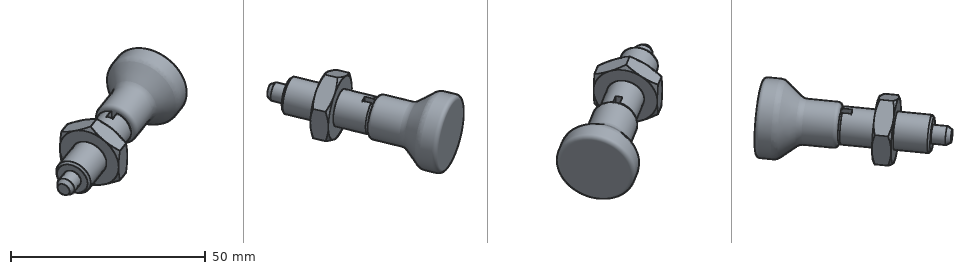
import cadquery as cq
import math

overall_length = 50

pin_diameter = 5
pin_length = 5
pin_tip_diameter = 3.5
pin_taper_length = 1.3

body_diameter = 10
body_end = 29
body_chamfer = 0.6

nut_across_flats = 17
nut_start = 14.5
nut_thickness = 5
nut_chamfer_angle = 30
nut_sides = 6
hex_half_angle = 180 / nut_sides

notch_width = 1.8
notch_length = 3
notch_depth = 2.5

neck_diameter = 12
knob_diameter = 21
cone_start = 39.05
cone_end = 44.6
knob_edge_radius = 1.2
knob_blend_radius = 2.5


def revolve_profile(points):
    """Revolve (radius, Y) points about the Y axis."""
    return cq.Workplane("XY").polyline(points).close().revolve(360, (0, 0, 0), (0, 1, 0))


def make_pin():
    radius = pin_diameter / 2
    return revolve_profile([
        (0, 0),
        (pin_tip_diameter / 2, 0),
        (radius, pin_taper_length),
        (radius, pin_length + body_chamfer),
        (0, pin_length + body_chamfer),
    ])


def make_body():
    radius = body_diameter / 2
    body = revolve_profile([
        (0, pin_length),
        (radius, pin_length),
        (radius, body_end),
        (0, body_end),
    ]).faces("<Y or >Y").chamfer(body_chamfer)
    for side in (1, -1):
        notch = cq.Workplane("XY").box(notch_width, notch_length, notch_depth).translate(
            (0, body_end - notch_length / 2, side * (radius - notch_depth / 2))
        )
        body = body.cut(notch)
    return body


def make_nut():
    flat_radius = nut_across_flats / 2
    corner_radius = flat_radius / math.cos(math.radians(hex_half_angle))
    chamfer_length = (corner_radius - flat_radius) * math.tan(math.radians(nut_chamfer_angle))
    nut_end = nut_start + nut_thickness
    hexagon = (
        cq.Workplane("XZ", origin=(0, nut_end, 0))
        .polygon(nut_sides, 2 * corner_radius)
        .extrude(nut_thickness)
        .rotate((0, 0, 0), (0, 1, 0), hex_half_angle)
    )
    envelope = revolve_profile([
        (0, nut_start),
        (flat_radius, nut_start),
        (corner_radius, nut_start + chamfer_length),
        (corner_radius, nut_end - chamfer_length),
        (flat_radius, nut_end),
        (0, nut_end),
    ])
    return hexagon.intersect(envelope)


def make_knob():
    neck_radius = neck_diameter / 2
    head_radius = knob_diameter / 2
    knob = revolve_profile([
        (0, body_end),
        (neck_radius, body_end),
        (neck_radius, cone_start),
        (head_radius, cone_end),
        (head_radius, overall_length),
        (0, overall_length),
    ])
    cone_edges = knob.faces("%CONE").edges("%CIRCLE")
    knob = cone_edges.fillet(knob_blend_radius)
    return knob.faces("<Y or >Y").edges().fillet(knob_edge_radius)


result = make_pin().union(make_body()).union(make_nut()).union(make_knob())